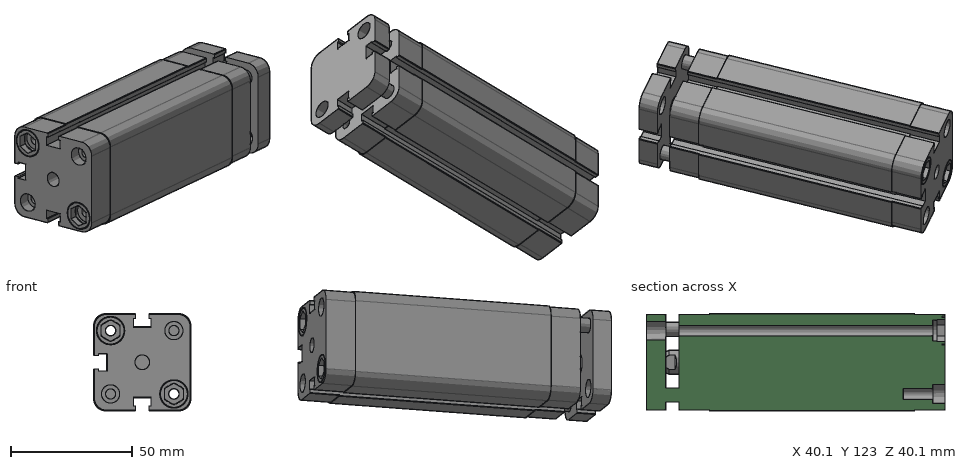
import cadquery as cq


LENGTH = 123.0
PLATE_LENGTH = 8.0
PLATE_GAP = 5.4
CAP_LENGTH = 12.7
PLATE_START = LENGTH - PLATE_LENGTH
BODY_END = PLATE_START - PLATE_GAP
TUBE_LENGTH = BODY_END - 2 * CAP_LENGTH

TUBE_SIZE = 40.1
END_SIZE = 39.5
CORNER_RADIUS = 5.0

SLOT_OPENING = 5.5
SLOT_WIDTH = 7.0
SLOT_EDGE_CHAMFER = 0.27
SLOT_LIP_LEVEL = 18.0
TUBE_SLOT_FLOOR = 14.6
END_SLOT_FLOOR = 14.3
SLOT_ANGLES = (0, 90, 180)

BORE_OFFSET = 13.0
SMALL_BORE_DIAMETER = 4.2
PORT_DIAMETER = 7.5
PORT_DEPTH = 5.0
PORT_CORE_DEPTH = 17.2
CENTRE_HOLE_DIAMETER = 6.0
CENTRE_HOLE_DEPTH = 9.8
PORT_CENTRES = [(BORE_OFFSET, BORE_OFFSET), (-BORE_OFFSET, -BORE_OFFSET)]

SCREW_CENTRES = [(-BORE_OFFSET, BORE_OFFSET), (BORE_OFFSET, -BORE_OFFSET)]
SCREW_DIAMETER = 11.1
SCREW_SEAT_DIAMETER = 11.7
SCREW_GAP_DEPTH = 1.2
HEX_ACROSS_FLATS = 7.7
HEX_DEPTH = 3.3
SOCKET_RELIEF_DIAMETER = 8.5
SOCKET_RELIEF_LENGTH = 1.7
PLATE_HOLE_DIAMETER = 7.5

GUIDE_ROD_DIAMETER = 6.0
GUIDE_ROD_OFFSET = 13.5
GUIDE_ROD_CENTRES = [(GUIDE_ROD_OFFSET, GUIDE_ROD_OFFSET), (-GUIDE_ROD_OFFSET, -GUIDE_ROD_OFFSET)]
ROD_DIAMETER = 10.0
ROD_TIP_DIAMETER = 9.0
ROD_TIP_LENGTH = 1.4
ROD_ACROSS_FLATS = 8.0
ROD_FLAT_LENGTH = 3.7
ROD_FLAT_RUNOUT = 0.8


def plane_at(y):
    """Sketch plane at the given Y: local x is X, local y is Z, extrusion runs toward +Y."""
    return cq.Workplane(cq.Plane(origin=(0, y, 0), xDir=(1, 0, 0), normal=(0, -1, 0)))


def cylinders(start, length, diameter, centres):
    """Cylinders along +Y at the given (x, z) centres."""
    return plane_at(start).pushPoints(centres).circle(diameter / 2).extrude(-length)


def slot(start, length, half_size, floor):
    """T-slot cutter in the +Z side of a block, with bevelled mouth edges."""
    mouth = SLOT_OPENING / 2
    inner = SLOT_WIDTH / 2
    bevel = SLOT_EDGE_CHAMFER
    right_side = [
        (inner, floor),
        (inner, SLOT_LIP_LEVEL),
        (mouth, SLOT_LIP_LEVEL),
        (mouth, half_size - bevel),
        (mouth + bevel, half_size),
    ]
    left_side = [(-x, z) for x, z in reversed(right_side)]
    return plane_at(start).polyline(right_side + left_side).close().extrude(-length)


def block(start, length, size, floor):
    """Rounded square section with T-slots."""
    body = plane_at(start).rect(size, size).extrude(-length).edges("|Y").fillet(CORNER_RADIUS)
    cutter = slot(start, length, size / 2, floor)
    for angle in SLOT_ANGLES:
        body = body.cut(cutter.rotate((0, 0, 0), (0, -1, 0), angle))
    return body


def piston_rod():
    """Rod with a tapered tip and two wrench flats facing -X and +X."""
    rod_radius = ROD_DIAMETER / 2
    flat_x = ROD_ACROSS_FLATS / 2
    flat_end = PLATE_START - ROD_FLAT_LENGTH
    rod = (
        cq.Workplane("YZ")
        .moveTo(BODY_END, 0)
        .lineTo(BODY_END, rod_radius)
        .lineTo(PLATE_START - ROD_TIP_LENGTH, rod_radius)
        .lineTo(PLATE_START, ROD_TIP_DIAMETER / 2)
        .lineTo(PLATE_START, 0)
        .close()
        .revolve(360, (0, 0, 0), (1, 0, 0))
    )
    relief = (
        cq.Workplane("XY")
        .moveTo(flat_x, PLATE_START)
        .lineTo(flat_x, flat_end)
        .lineTo(rod_radius, flat_end - ROD_FLAT_RUNOUT)
        .lineTo(rod_radius, PLATE_START)
        .close()
        .extrude(rod_radius, both=True)
    )
    return rod.cut(relief).cut(relief.mirror("YZ"))


def screw_clearance_rings():
    """Narrow annular gaps around the screw heads."""
    seats = cylinders(0, SCREW_GAP_DEPTH, SCREW_SEAT_DIAMETER, SCREW_CENTRES)
    heads = cylinders(0, SCREW_GAP_DEPTH, SCREW_DIAMETER, SCREW_CENTRES)
    return seats.cut(heads)


def hexagon_sockets():
    """Hexagonal recesses with a corner pointing up."""
    return (
        plane_at(0)
        .pushPoints(SCREW_CENTRES)
        .polygon(6, HEX_ACROSS_FLATS, circumscribed=True)
        .extrude(-HEX_DEPTH)
    )


front_cap = block(0, CAP_LENGTH, END_SIZE, END_SLOT_FLOOR)
tube = block(CAP_LENGTH, TUBE_LENGTH, TUBE_SIZE, TUBE_SLOT_FLOOR)
rear_cap = block(CAP_LENGTH + TUBE_LENGTH, CAP_LENGTH, END_SIZE, END_SLOT_FLOOR)
plate = block(PLATE_START, PLATE_LENGTH, END_SIZE, END_SLOT_FLOOR)
plate = plate.cut(cylinders(PLATE_START, PLATE_LENGTH, PLATE_HOLE_DIAMETER, SCREW_CENTRES))
body = front_cap.union(tube).union(rear_cap)

body = body.cut(cylinders(0, PORT_DEPTH, PORT_DIAMETER, PORT_CENTRES))
body = body.cut(cylinders(0, PORT_CORE_DEPTH, SMALL_BORE_DIAMETER, PORT_CENTRES))
body = body.cut(cylinders(0, CENTRE_HOLE_DEPTH, CENTRE_HOLE_DIAMETER, [(0, 0)]))

body = body.cut(screw_clearance_rings()).cut(hexagon_sockets())
body = body.cut(cylinders(HEX_DEPTH, SOCKET_RELIEF_LENGTH, SOCKET_RELIEF_DIAMETER, SCREW_CENTRES))
body = body.cut(cylinders(0, BODY_END, SMALL_BORE_DIAMETER, SCREW_CENTRES))

guide_rods = cylinders(BODY_END, PLATE_GAP, GUIDE_ROD_DIAMETER, GUIDE_ROD_CENTRES)
result = body.union(guide_rods).union(piston_rod()).union(plate)